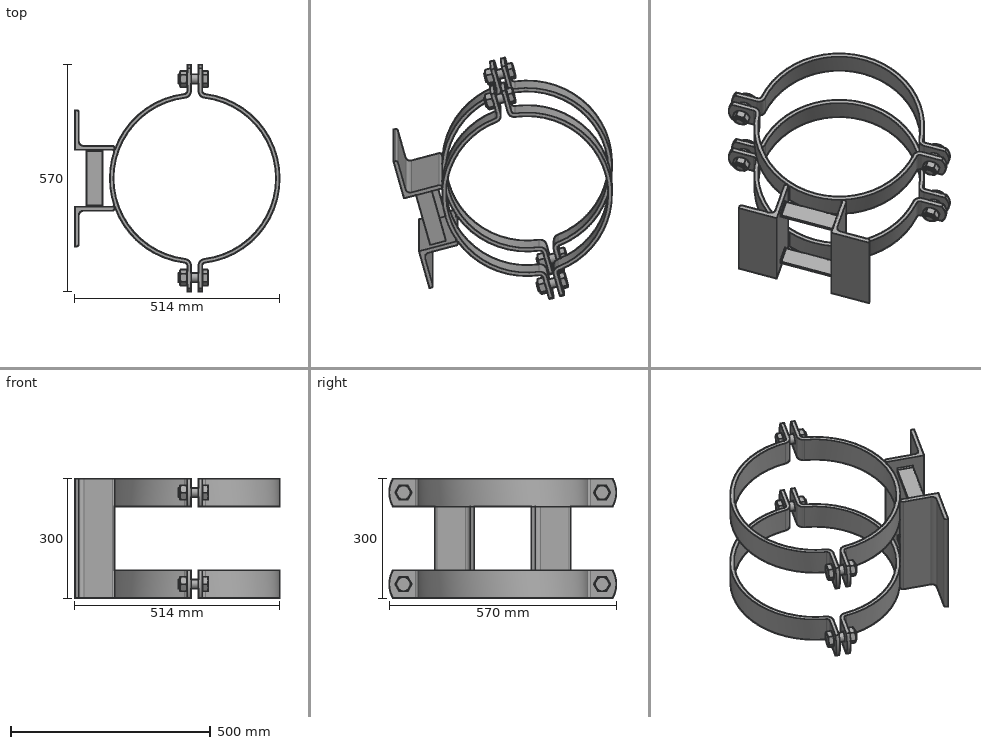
import cadquery as cq
import math

length_x = 514.0
width_y = 570.0
height_z = 300.0

band_outer_radius = 213.0
band_thickness = 9.5
band_height = 70.0
ear_gap = 18.0
ear_tip_radius = band_height
bend_inner_radius = 8.0
bend_outer_radius = bend_inner_radius + band_thickness

bolt_y = 249.0
bolt_diameter = 24.0
bolt_tip_diameter = 22.0
bolt_protrusion = 3.5
hole_diameter = 27.0
hex_across_flats = 36.0
bearing_diameter = 33.0
bearing_thickness = 1.0
head_chamfer_diameter = 35.5
chamfer_angle = math.radians(30)
nut_thickness = 19.0
head_thickness = 15.0

leg_spacing = 142.5
leg_length = 100.0
leg_thickness = 10.0
root_radius = 12.0
toe_radius = 5.5

bar_width = 41.0
bar_thickness = 8.0
bar_setback = 29.0
weld_size = 3.5

band_inner_radius = band_outer_radius - band_thickness
ear_inner_x = ear_gap / 2
ear_outer_x = ear_inner_x + band_thickness
back_x = band_outer_radius - length_x
leg_face_y = leg_spacing / 2
leg_tip_x = back_x + leg_length
band_bottoms = (0, height_z - band_height)


def mirrored_y(shape):
    """The shape together with its mirror image across the XZ plane."""
    return shape.union(shape.mirror("XZ"))


def ear_plate():
    """Ear on the +X, +Y side: a flat strip with an arched end and a bolt hole."""
    root_y = band_inner_radius + band_thickness / 2
    tip_y = width_y / 2
    half_height = band_height / 2
    tip_sag = ear_tip_radius - math.sqrt(ear_tip_radius**2 - half_height**2)
    return (
        cq.Workplane("YZ", origin=(ear_inner_x, 0, half_height))
        .moveTo(root_y, -half_height)
        .lineTo(tip_y - tip_sag, -half_height)
        .threePointArc((tip_y, 0), (tip_y - tip_sag, half_height))
        .lineTo(root_y, half_height)
        .close()
        .pushPoints([(bolt_y, 0)])
        .circle(hole_diameter / 2)
        .extrude(band_thickness)
    )


def half_band():
    """Half ring on the +X side with its two ears and rounded bends."""
    ring = (
        cq.Workplane("XY")
        .circle(band_outer_radius)
        .circle(band_inner_radius)
        .extrude(band_height)
    )
    keep = cq.Workplane("XY").box(
        length_x, width_y, band_height, centered=(False, True, False)
    ).translate((ear_inner_x, 0, 0))
    band = ring.intersect(keep).union(mirrored_y(ear_plate()))
    bends = (
        (ear_outer_x, band_outer_radius, bend_inner_radius),
        (ear_inner_x, band_inner_radius, bend_outer_radius),
    )
    for x, radius, bend_radius in bends:
        y = math.sqrt(radius**2 - x**2)
        for side in (1, -1):
            corner = cq.NearestToPointSelector((x, side * y, band_height / 2))
            band = band.edges("|Z").edges(corner).fillet(bend_radius)
    return band


def chamfered_hex(thickness, face_diameter):
    """Hexagon along +X, corners toward +Y and -Y, far corners chamfered by a cone."""
    corner_radius = hex_across_flats / math.sqrt(3)
    face_radius = face_diameter / 2
    drop = (corner_radius - face_radius) * math.tan(chamfer_angle)
    prism = cq.Workplane("YZ").polygon(6, 2 * corner_radius).extrude(thickness)
    envelope = (
        cq.Workplane("XY")
        .polyline([
            (0, 0),
            (0, corner_radius),
            (thickness - drop, corner_radius),
            (thickness, face_radius),
            (thickness, 0),
        ])
        .close()
        .revolve(360, (0, 0, 0), (1, 0, 0))
    )
    return prism.intersect(envelope)


def bolt_head():
    """Hexagonal head along +X, standing on a thin round bearing face."""
    bearing = cq.Workplane("YZ").circle(bearing_diameter / 2).extrude(bearing_thickness)
    hexagon = chamfered_hex(head_thickness - bearing_thickness, head_chamfer_diameter)
    return bearing.union(hexagon.translate((bearing_thickness, 0, 0)))


def nut():
    """Hexagonal nut along +X with both faces chamfered."""
    half = chamfered_hex(nut_thickness / 2, bearing_diameter)
    return half.union(half.mirror("YZ")).translate((nut_thickness / 2, 0, 0))


def bolt_with_nut():
    """Bolt along X with the head on the +X ear and the nut on the -X ear."""
    tip_x = -ear_outer_x - nut_thickness - bolt_protrusion
    shank = (
        cq.Workplane("YZ", origin=(tip_x, 0, 0))
        .circle(bolt_diameter / 2)
        .extrude(ear_outer_x - tip_x)
        .faces("<X")
        .chamfer((bolt_diameter - bolt_tip_diameter) / 2)
    )
    head = bolt_head().translate((ear_outer_x, 0, 0))
    end_nut = nut().mirror("YZ").translate((-ear_outer_x, 0, 0))
    return shank.union(head).union(end_nut)


def clamp():
    """Complete band: two halves and the two bolts that join them."""
    half = half_band()
    bolt = bolt_with_nut().translate((0, bolt_y, band_height / 2))
    return half.union(half.mirror("YZ")).union(mirrored_y(bolt))


def angle():
    """Equal-leg angle on the +Y side, standing the full height."""
    end_y = leg_face_y + leg_length
    return (
        cq.Workplane("XY")
        .moveTo(back_x, leg_face_y)
        .lineTo(leg_tip_x, leg_face_y)
        .line(0, leg_thickness - toe_radius)
        .radiusArc((leg_tip_x - toe_radius, leg_face_y + leg_thickness), -toe_radius)
        .lineTo(back_x + leg_thickness + root_radius, leg_face_y + leg_thickness)
        .radiusArc((back_x + leg_thickness, leg_face_y + leg_thickness + root_radius), root_radius)
        .lineTo(back_x + leg_thickness, end_y - toe_radius)
        .radiusArc((back_x + leg_thickness - toe_radius, end_y), -toe_radius)
        .lineTo(back_x, end_y)
        .close()
        .extrude(height_z)
    )


def leg_weld():
    """Weld bead, one band high, in the corner between the +Y leg and the band."""
    bead_y = leg_face_y - weld_size
    band_x = -math.sqrt(band_outer_radius**2 - bead_y**2)
    inside_x = leg_tip_x + band_thickness / 2
    return (
        cq.Workplane("XY")
        .polyline([
            (leg_tip_x - weld_size, leg_face_y),
            (band_x, bead_y),
            (inside_x, bead_y),
            (inside_x, leg_face_y),
        ])
        .close()
        .extrude(band_height)
    )


def cross_bar():
    """Flat bar between the angles at mid band height, welded along its top ends."""
    low_z = (band_height - bar_thickness) / 2
    top_z = low_z + bar_thickness
    return (
        cq.Workplane("YZ", origin=(back_x + bar_setback, 0, 0))
        .polyline([
            (-leg_face_y, low_z),
            (leg_face_y, low_z),
            (leg_face_y, top_z + weld_size),
            (leg_face_y - weld_size, top_z),
            (weld_size - leg_face_y, top_z),
            (-leg_face_y, top_z + weld_size),
        ])
        .close()
        .extrude(bar_width)
    )


level = clamp().union(mirrored_y(leg_weld())).union(cross_bar())
result = mirrored_y(angle())
for bottom in band_bottoms:
    result = result.union(level.translate((0, 0, bottom)))